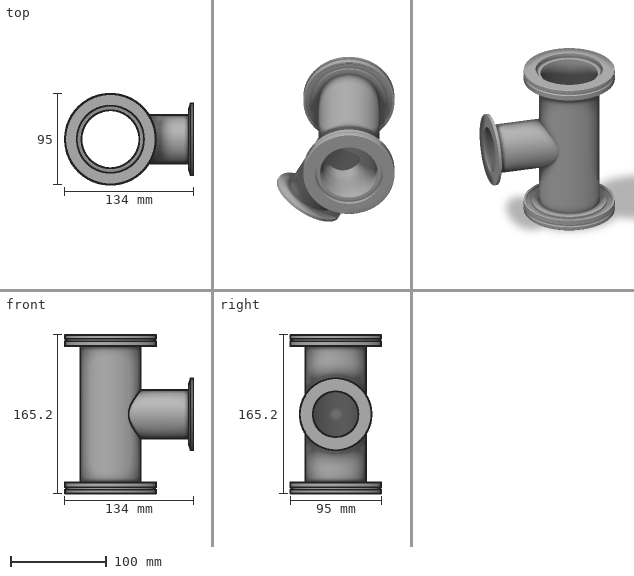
import cadquery as cq

TOTAL_HEIGHT = 165.2
OUTER_LENGTH_X = 134.0

TUBE_DIAMETER = 63.5
TUBE_BORE = 60.1

FLANGE_DIAMETER = 95.0
FLANGE_THICKNESS = 11.7
FLANGE_BORE = 60.1
FLANGE_SOCKET = 63.8
SEAT_DIAMETER = 70.0
SEAT_DEPTH = 4.5
FLANGE_LIP = 1.7
FLANGE_CHAMFER = 0.5
GROOVE_RADIUS = 1.3
GROOVE_OFFSET = 5.3
RELIEF_INNER = 78.0
RELIEF_OUTER = 90.0
RELIEF_DEPTH = 2.0
RELIEF_CHAMFER = 0.7

BRANCH_DIAMETER = 50.9
BRANCH_BORE = 47.5

CLAMP_DIAMETER = 75.0
CLAMP_BACK_DIAMETER = 60.0
CLAMP_RIM = 3.0
CLAMP_TAPER = 2.1
CLAMP_SOCKET = 51.2
CLAMP_LIP = 1.7

half_height = TOTAL_HEIGHT / 2
tube_half_length = half_height - SEAT_DEPTH - FLANGE_LIP
branch_face = OUTER_LENGTH_X - FLANGE_DIAMETER / 2
branch_end = branch_face - CLAMP_LIP


def cylinder_z(diameter, bottom, top):
    return cq.Workplane("XY").workplane(offset=bottom).circle(diameter / 2).extrude(top - bottom)


def cylinder_x(diameter, start, end):
    return cq.Workplane("YZ").workplane(offset=start).circle(diameter / 2).extrude(end - start)


def make_main_tube():
    tube = cylinder_z(TUBE_DIAMETER, -tube_half_length, tube_half_length)
    tube = tube.cut(cylinder_z(TUBE_BORE, -tube_half_length, tube_half_length))
    return tube.cut(cylinder_x(BRANCH_BORE, 0, branch_end))


def make_branch_tube():
    branch = cylinder_x(BRANCH_DIAMETER, 0, branch_end)
    branch = branch.cut(cylinder_x(BRANCH_BORE, 0, branch_end))
    return branch.cut(cylinder_z(TUBE_DIAMETER, -half_height, half_height))


def make_end_flange():
    """Upper end flange, with its sealing face at the top of the part."""
    back = half_height - FLANGE_THICKNESS
    seat_floor = half_height - SEAT_DEPTH
    flange = cylinder_z(FLANGE_DIAMETER, back, half_height)
    flange = flange.faces(">Z").edges().chamfer(FLANGE_CHAMFER)

    flange = flange.cut(cylinder_z(SEAT_DIAMETER, seat_floor, half_height))
    flange = flange.cut(cylinder_z(FLANGE_BORE, back, half_height))
    flange = flange.cut(cylinder_z(FLANGE_SOCKET, back, tube_half_length))

    relief = cylinder_z(RELIEF_OUTER, back, back + RELIEF_DEPTH)
    relief_mouth = (
        cq.Workplane("XY").workplane(offset=back)
        .circle(RELIEF_OUTER / 2 + RELIEF_CHAMFER)
        .workplane(offset=RELIEF_CHAMFER)
        .circle(RELIEF_OUTER / 2)
        .loft(ruled=True)
    )
    relief = relief.union(relief_mouth)
    relief = relief.cut(cylinder_z(RELIEF_INNER, back, back + RELIEF_DEPTH))
    flange = flange.cut(relief)

    groove = cq.Solid.makeTorus(
        FLANGE_DIAMETER / 2, GROOVE_RADIUS, cq.Vector(0, 0, half_height - GROOVE_OFFSET)
    )
    return flange.cut(cq.Workplane(groove))


def make_branch_flange():
    """Tapered clamp flange on the end of the branch."""
    rim_back = branch_face - CLAMP_RIM
    back = rim_back - CLAMP_TAPER
    section = [
        (back, CLAMP_SOCKET / 2),
        (back, CLAMP_BACK_DIAMETER / 2),
        (rim_back, CLAMP_DIAMETER / 2),
        (branch_face, CLAMP_DIAMETER / 2),
        (branch_face, BRANCH_BORE / 2),
        (branch_end, BRANCH_BORE / 2),
        (branch_end, CLAMP_SOCKET / 2),
    ]
    return cq.Workplane("XY").polyline(section).close().revolve(360, (0, 0, 0), (1, 0, 0))


main_tube = make_main_tube()
branch_tube = make_branch_tube()
branch_flange = make_branch_flange()

end_flanges = []
for turn in (0, 180):
    end_flanges.append(make_end_flange().rotate((0, 0, 0), (1, 0, 0), turn).val())

result = cq.Compound.makeCompound(
    [main_tube.val(), branch_tube.val(), branch_flange.val(), *end_flanges]
)